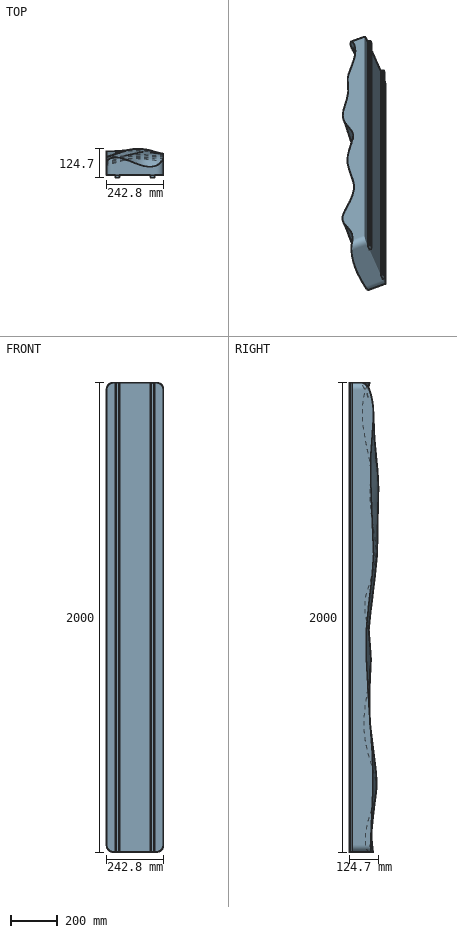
import cadquery as cq

width = 242.76
height = 2000.0
overall_depth = 124.75
corner_radius = 30.0
back_round = 2.5
strip_width = 20.0
strip_depth = 12.1
strip_chamfer = 4.5
strip_spacing = 150.0

blend_swell = 0.1
crest_depth = overall_depth - strip_depth - blend_swell
stock_depth = overall_depth + corner_radius
half_width = width / 2
shoulder_x = -75.0
crest_x = 8.0

wave_z = [height, 1870, 1760, 1615, 1550, 1400, 1270, 1170, 1070, 945, 820, 675, 550, 405, 270, 165, 0]

left_depths = [66, 42, 54, 78, 74, 86, 100, 80, 53, 67, 79, 62, 48, 71, 102, 76, 61]
shoulder_depths = [75, 58, 72, 93, 95, 99, 103, 89, 69, 70, 80, 67, 61, 84, 102, 85, 78]
crest_depths = [48, 80, 93, 110, crest_depth, 109, 107, 97, 84, 71, 79, 74, 74, 94, 104, 91, 89]
right_depths = [60, 91, 84, 78, 80, 86, 91, 84, 72, 60, 60, 68, 76, 86, 88, 83, 78]
wave_profiles = [
    (-half_width, left_depths),
    (shoulder_x, shoulder_depths),
    (crest_x, crest_depths),
    (half_width, right_depths),
]


def wave_section(x, depths):
    """Closed section in a plane of constant X: wavy front curve, straight ends and back."""
    front = [cq.Vector(x, y, z) for y, z in zip(depths, wave_z)]
    back_top = cq.Vector(x, 0, height)
    back_bottom = cq.Vector(x, 0, 0)
    edges = [
        cq.Edge.makeSpline(front),
        cq.Edge.makeLine(front[-1], back_bottom),
        cq.Edge.makeLine(back_bottom, back_top),
        cq.Edge.makeLine(back_top, front[0]),
    ]
    return cq.Wire.assembleEdges(edges)


def wavy_block():
    """Smooth block blended through the wave profiles from the left side to the right side."""
    sections = [wave_section(x, depths) for x, depths in wave_profiles]
    return cq.Workplane(obj=cq.Solid.makeLoft(sections))


def rounded_slab():
    """Flat-backed slab with rounded corners seen along Y."""
    return (
        cq.Workplane("XY")
        .box(width, stock_depth, height, centered=(True, False, False))
        .edges("|Y")
        .fillet(corner_radius)
        .faces("<Y")
        .edges()
        .fillet(back_round)
    )


def back_strip(x):
    """Full-height strip with chamfered outer edges standing on the flat back."""
    return (
        cq.Workplane("XY")
        .center(x, -strip_depth / 2)
        .rect(strip_width, strip_depth)
        .extrude(height)
        .edges("|Z and <Y")
        .chamfer(strip_chamfer)
    )


panel = rounded_slab().intersect(wavy_block())
for side in (-1, 1):
    panel = panel.union(back_strip(side * strip_spacing / 2))

result = panel